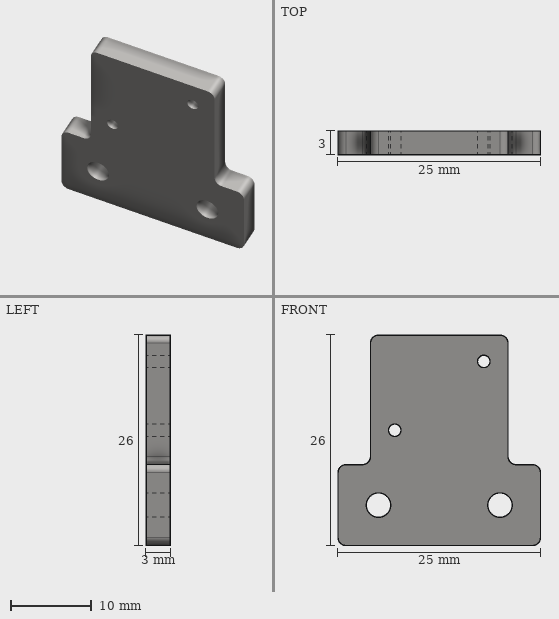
import cadquery as cq

total_height = 26.0
base_width = 25.0
base_height = 10.0
upright_width = 17.0
thickness = 3.0
corner_radius = 1.0

large_diameter = 3.0
large_spacing = 15.0
large_height = base_height / 2

small_diameter = 1.5
small_spacing = 11.0
left_small_height = 14.25
right_small_height = 22.75


def plate():
    """Stepped plate with every corner rounded, standing in the XZ plane."""
    base = cq.Workplane("XY").box(base_width, thickness, base_height, centered=(True, True, False))
    upright = cq.Workplane("XY").box(upright_width, thickness, total_height, centered=(True, True, False))
    return base.union(upright).clean().edges("|Y").fillet(corner_radius)


def through_holes(diameter, centres):
    """Cylinders along Y that cut fully through the plate."""
    return (
        cq.Workplane("XZ", origin=(0, thickness / 2, 0))
        .pushPoints(centres)
        .circle(diameter / 2)
        .extrude(thickness)
    )


large_centres = [(side * large_spacing / 2, large_height) for side in (-1, 1)]
small_centres = [
    (-small_spacing / 2, left_small_height),
    (small_spacing / 2, right_small_height),
]

result = (
    plate()
    .cut(through_holes(large_diameter, large_centres))
    .cut(through_holes(small_diameter, small_centres))
)